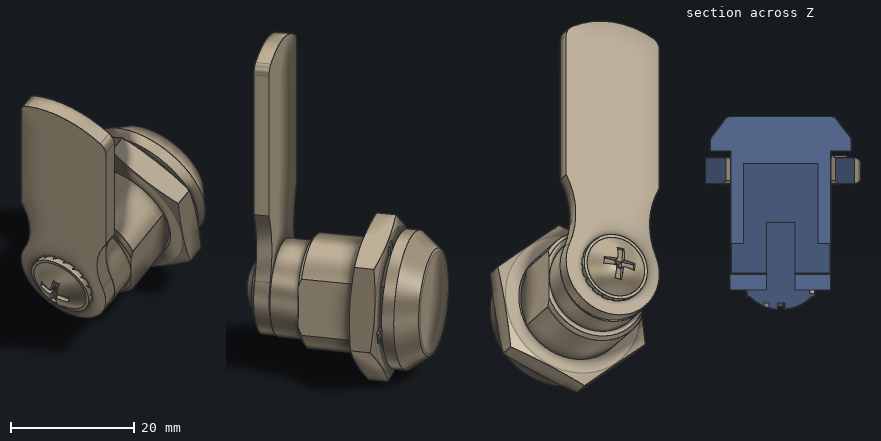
import cadquery as cq
import math


head_diameter = 23.0
head_face_diameter = 17.8
head_rim_thickness = 2.05
head_cone_height = 3.45
head_crown_height = 0.15
head_crown_inset = 0.5
barrel_diameter = 19.0
barrel_flat_width = 16.3
barrel_length = 15.05
barrel_end_diameter = 17.8
barrel_chamfer_length = 0.55

plug_shank_diameter = 12.2
plug_shank_length = 13.0
plug_collar_diameter = 16.2
plug_collar_length = 4.8

nut_width_across_flats = 24.0
nut_corner_diameter = nut_width_across_flats / math.cos(math.pi / 6)
nut_turn = 39.47
nut_head_gap = 1.03
nut_thickness = 4.3
nut_face_diameter = 23.7
nut_chamfer_height = 0.5
nut_bore_diameter = 17.8
nut_countersink_depth = 0.6
nut_tooth_count = 4
nut_tooth_angle = 73.0
nut_tooth_outer_radius = 11.0
nut_tooth_height = 0.3
nut_tooth_base_width = 2.0
nut_tooth_top_width = 1.3

cam_gap = 0.15
cam_thickness = 2.6
cam_width = 16.4
cam_shift_x = -0.08
cam_shift_z = 0.27
cam_tip_z = 43.05
cam_tip_radius = 15.0
cam_corner_radius = 2.0
cam_neck_width = 13.0
cam_neck_z = 8.68

screw_shank_diameter = 4.8
screw_shank_length = 11.0
flange_diameter = 11.1
flange_thickness = 1.1
dome_diameter = 10.1
dome_height = 2.1
serration_count = 18
serration_depth = 0.5
serration_width = 0.8
serration_radial_length = 0.8
recess_span = 5.4
recess_slot_width = 1.15
recess_depth = 1.1
recess_pit_depth = 0.4
recess_pit_floor_width = 0.06
recess_turn = -5.0

barrel_end_y = -barrel_length
plug_end_y = barrel_end_y - plug_collar_length
cam_back_y = plug_end_y - cam_gap
cam_front_y = cam_back_y - cam_thickness
flange_front_y = cam_front_y - flange_thickness
dome_top_y = flange_front_y - dome_height
nut_back_y = -nut_head_gap
nut_front_y = nut_back_y - nut_thickness


def cylinder(diameter, start_y, end_y):
    """Round bar on the lock axis, running toward -Y from start_y to end_y."""
    bar = cq.Workplane("XZ", origin=(0, start_y, 0)).circle(diameter / 2)
    return bar.extrude(start_y - end_y)


def revolve_profile(profile):
    """Turn a closed (radius, y) profile about the lock axis."""
    return profile.close().revolve(360, (0, 0, 0), (0, 1, 0))


def make_barrel():
    """Round barrel with two flats and a chamfered end."""
    barrel = revolve_profile(
        cq.Workplane("XY")
        .moveTo(0, 0)
        .lineTo(barrel_diameter / 2, 0)
        .lineTo(barrel_diameter / 2, barrel_end_y + barrel_chamfer_length)
        .lineTo(barrel_end_diameter / 2, barrel_end_y)
        .lineTo(0, barrel_end_y)
    )
    between_flats = (
        cq.Workplane("XZ")
        .rect(barrel_flat_width, 2 * barrel_diameter)
        .extrude(barrel_length)
    )
    return barrel.intersect(between_flats)


def make_housing():
    cone_base_y = head_rim_thickness
    cone_top_y = cone_base_y + head_cone_height
    head = revolve_profile(
        cq.Workplane("XY")
        .moveTo(0, 0)
        .lineTo(head_diameter / 2, 0)
        .lineTo(head_diameter / 2, cone_base_y)
        .lineTo(head_face_diameter / 2, cone_top_y)
        .lineTo(head_face_diameter / 2 - head_crown_inset, cone_top_y + head_crown_height)
        .lineTo(0, cone_top_y + head_crown_height)
    )
    bore = cylinder(plug_shank_diameter, barrel_end_y + plug_shank_length, barrel_end_y)
    return head.union(make_barrel()).cut(bore)


def make_plug():
    shank = cylinder(plug_shank_diameter, barrel_end_y + plug_shank_length, barrel_end_y)
    collar = cylinder(plug_collar_diameter, barrel_end_y, plug_end_y)
    return shank.union(collar).cut(make_screw_shank())


def make_nut():
    hexagon = (
        cq.Workplane("XZ", origin=(0, nut_back_y, 0))
        .transformed(rotate=(0, 0, nut_turn))
        .polygon(6, nut_corner_diameter)
        .extrude(nut_thickness)
    )
    corner_trim = revolve_profile(
        cq.Workplane("XY")
        .moveTo(0, nut_back_y)
        .lineTo(nut_face_diameter / 2, nut_back_y)
        .lineTo(nut_corner_diameter / 2, nut_back_y - nut_chamfer_height)
        .lineTo(nut_corner_diameter / 2, nut_front_y + nut_chamfer_height)
        .lineTo(nut_face_diameter / 2, nut_front_y)
        .lineTo(0, nut_front_y)
    )
    nut = hexagon.intersect(corner_trim)
    tooth = (
        cq.Workplane("YZ")
        .moveTo(nut_back_y, -nut_tooth_base_width / 2)
        .lineTo(nut_back_y + nut_tooth_height, -nut_tooth_top_width / 2)
        .lineTo(nut_back_y + nut_tooth_height, nut_tooth_top_width / 2)
        .lineTo(nut_back_y, nut_tooth_base_width / 2)
        .close()
        .extrude(nut_tooth_outer_radius)
    )
    for index in range(nut_tooth_count):
        angle = nut_tooth_angle + index * 360 / nut_tooth_count
        nut = nut.union(tooth.rotate((0, 0, 0), (0, 1, 0), -angle))
    bore = revolve_profile(
        cq.Workplane("XY")
        .moveTo(0, nut_back_y + nut_tooth_height)
        .lineTo(nut_bore_diameter / 2, nut_back_y + nut_tooth_height)
        .lineTo(nut_bore_diameter / 2, nut_front_y + nut_countersink_depth)
        .lineTo(barrel_diameter / 2, nut_front_y)
        .lineTo(0, nut_front_y)
    )
    return nut.cut(bore).cut(make_barrel())


def make_cam():
    half_width = cam_width / 2
    half_neck = cam_neck_width / 2
    side_step = half_width - half_neck
    neck_rise = cam_neck_z - cam_shift_z
    waist_radius = (half_neck**2 + neck_rise**2 - half_width**2) / (2 * side_step)
    waist_angle = math.atan2(neck_rise, half_neck + waist_radius)
    hub_x = half_width * math.cos(waist_angle)
    hub_z = cam_shift_z + half_width * math.sin(waist_angle)
    shoulder_z = cam_neck_z + math.sqrt(waist_radius**2 - (waist_radius - side_step) ** 2)
    tip_drop = cam_tip_radius - math.sqrt(cam_tip_radius**2 - half_width**2)
    corner_z = cam_tip_z - tip_drop
    blade = (
        cq.Workplane("XZ", origin=(cam_shift_x, cam_back_y, 0))
        .moveTo(hub_x, hub_z)
        .threePointArc((half_neck, cam_neck_z), (half_width, shoulder_z))
        .lineTo(half_width, corner_z)
        .threePointArc((0, cam_tip_z), (-half_width, corner_z))
        .lineTo(-half_width, shoulder_z)
        .threePointArc((-half_neck, cam_neck_z), (-hub_x, hub_z))
        .threePointArc((0, cam_shift_z - half_width), (hub_x, hub_z))
        .close()
        .extrude(cam_thickness)
    )
    tip_corners = cq.selectors.BoxSelector(
        (-cam_width, cam_front_y, corner_z - side_step),
        (cam_width, cam_back_y, corner_z + side_step),
    )
    blade = blade.edges("|Y").edges(tip_corners).fillet(cam_corner_radius)
    return blade.cut(make_screw_shank())


def make_screw_shank():
    return cylinder(screw_shank_diameter, cam_front_y + screw_shank_length, cam_front_y)


def make_screw():
    flange = cylinder(flange_diameter, cam_front_y, flange_front_y)
    notch = (
        cq.Workplane("YZ", origin=(flange_diameter / 2 - serration_radial_length, 0, 0))
        .moveTo(cam_front_y, 0)
        .lineTo(cam_front_y, serration_width)
        .lineTo(cam_front_y - serration_depth, serration_width)
        .close()
        .extrude(2 * serration_radial_length)
    )
    for index in range(serration_count):
        flange = flange.cut(notch.rotate((0, 0, 0), (0, 1, 0), index * 360 / serration_count))

    dome_radius = dome_diameter / 2
    sphere_radius = (dome_radius**2 + dome_height**2) / (2 * dome_height)
    half_angle = math.asin(dome_radius / sphere_radius) / 2
    sphere_center_y = dome_top_y + sphere_radius
    arc_middle = (
        sphere_radius * math.sin(half_angle),
        sphere_center_y - sphere_radius * math.cos(half_angle),
    )
    dome = revolve_profile(
        cq.Workplane("XY")
        .moveTo(0, flange_front_y)
        .lineTo(dome_radius, flange_front_y)
        .threePointArc(arc_middle, (0, dome_top_y))
    )
    screw = make_screw_shank().union(flange).union(dome)

    floor_y = dome_top_y + recess_depth
    slot = cq.Workplane("XY").box(recess_span, recess_depth, recess_slot_width)
    slot = slot.translate((0, dome_top_y + recess_depth / 2, 0))
    pit_side_run = (recess_slot_width - recess_pit_floor_width) / 2
    pit_taper = math.degrees(math.atan2(pit_side_run, recess_pit_depth))
    pit = (
        cq.Workplane("XZ", origin=(0, floor_y, 0))
        .rect(recess_slot_width, recess_slot_width)
        .extrude(-recess_pit_depth, taper=pit_taper)
    )
    recess = slot.union(slot.rotate((0, 0, 0), (0, 1, 0), 90)).union(pit)
    return screw.cut(recess.rotate((0, 0, 0), (0, 1, 0), -recess_turn))


housing = make_housing()
plug = make_plug()
nut = make_nut()
cam = make_cam()
screw = make_screw()

result = cq.Compound.makeCompound(
    [housing.val(), plug.val(), nut.val(), cam.val(), screw.val()]
)